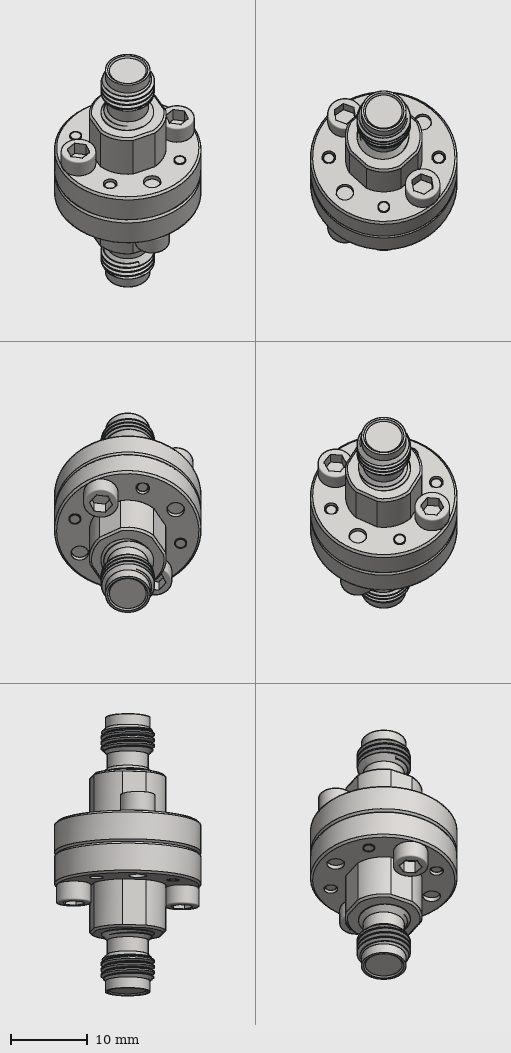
import cadquery as cq
import math

half_length = 18.12

flange_radius = 9.55
flange_thickness = 4.15
flange_chamfer = 0.3

block_radius = 5.0
block_flat_distance = 4.75
block_height = 6.3
block_chamfer = 0.3

thread_radius = 3.48
thread_root_radius = 3.08
thread_pitch = 0.75
thread_groove_width = 0.55
thread_root_width = 0.1
thread_groove_overshoot = 0.07
thread_start_angle = 180.0
thread_groove_height = 15.2
tip_radius = 2.9
tip_length = 1.4
barrel_bottom = 8.7
neck_radius = 2.7
neck_bottom = 11.35
neck_top = 13.23
recess_mouth_radius = 2.6
recess_floor_radius = 2.4
recess_depth = 0.18

bolt_circle_radius = 7.15
screw_radius = 1.12
screw_tip_recess = 0.6
head_radius = 2.25
head_height = 2.5
head_edge_radius = 0.18
socket_width = 2.57
socket_depth = 1.8
socket_angle = 23.0
pin_radius = 0.78
pin_chamfer = 0.1
pin_tip_recess = 0.3
pin_clearance_radius = 0.87

block_top = flange_thickness + block_height
thread_top = half_length - tip_length
thread_depth_over_neck = thread_radius - neck_radius

upper_screw_angles = [90, 270]
lower_screw_angles = [0, 180]
upper_pin_angles = [45, 225]
lower_pin_angles = [135, 315]


def turned_over(shape):
    """Move a part made for the upper side to the lower side."""
    return shape.rotate((0, 0, 0), (0, 1, 0), 180)


def on_bolt_circle(shape, angle):
    """Shift a part from the axis to its place on the bolt circle, without turning it."""
    radians = math.radians(angle)
    return shape.translate((bolt_circle_radius * math.cos(radians), bolt_circle_radius * math.sin(radians), 0))


def make_flange():
    return (
        cq.Workplane("XY")
        .circle(flange_radius)
        .extrude(flange_thickness)
        .edges()
        .chamfer(flange_chamfer)
    )


def make_block():
    """Round block with four wrench flats, its top edge chamfered all the way round."""
    round_bar = cq.Workplane("XY").circle(block_radius).extrude(block_top)
    square_bar = cq.Workplane("XY").rect(2 * block_flat_distance, 2 * block_flat_distance).extrude(block_top)
    round_bar = round_bar.faces(">Z").edges().chamfer(block_chamfer)
    square_bar = square_bar.faces(">Z").edges().chamfer(block_chamfer)
    return round_bar.intersect(square_bar)


def make_thread_groove(first_turn, turns):
    """Helical cutter with a trapezoid section, starting a number of turns from the reference height."""
    mouth_radius = thread_radius + thread_groove_overshoot
    flank_slope = (thread_groove_width - thread_root_width) / 2 / (thread_radius - thread_root_radius)
    mouth_half_width = thread_groove_width / 2 + thread_groove_overshoot * flank_slope
    root_half_width = thread_root_width / 2
    section = [
        (thread_root_radius, -root_half_width),
        (mouth_radius, -mouth_half_width),
        (mouth_radius, mouth_half_width),
        (thread_root_radius, root_half_width),
    ]
    corner_helices = [
        cq.Wire.makeHelix(thread_pitch, turns * thread_pitch, radius).translate(cq.Vector(0, 0, height))
        for radius, height in section
    ]
    neighbours = corner_helices[1:] + corner_helices[:1]
    faces = [cq.Face.makeRuledSurface(here, there) for here, there in zip(corner_helices, neighbours)]
    for end in (0, 1):
        end_outline = [helix.positionAt(end) for helix in corner_helices]
        faces.append(cq.Face.makeFromWires(cq.Wire.makePolygon(end_outline, close=True)))
    cutter = cq.Workplane(obj=cq.Solid.makeSolid(cq.Shell.makeShell(faces)).fix())
    start_height = thread_groove_height + first_turn * thread_pitch
    return cutter.rotate((0, 0, 0), (0, 0, 1), thread_start_angle).translate((0, 0, start_height))


def make_connector():
    """Threaded barrel with a necked relief, a plain tip and a shallow end recess."""
    barrel = (
        cq.Workplane("XZ")
        .moveTo(0, barrel_bottom)
        .lineTo(thread_radius, barrel_bottom)
        .lineTo(thread_radius, neck_bottom - thread_depth_over_neck)
        .lineTo(neck_radius, neck_bottom)
        .lineTo(neck_radius, neck_top)
        .lineTo(thread_radius, neck_top + thread_depth_over_neck)
        .lineTo(thread_radius, thread_top - (thread_radius - tip_radius))
        .lineTo(tip_radius, thread_top)
        .lineTo(tip_radius, half_length)
        .lineTo(recess_mouth_radius, half_length)
        .lineTo(recess_floor_radius, half_length - recess_depth)
        .lineTo(0, half_length - recess_depth)
        .close()
        .revolve(360, (0, 0, 0), (0, 1, 0))
    )
    main_thread = make_thread_groove(first_turn=-2, turns=4)
    thread_below_neck = make_thread_groove(first_turn=-7, turns=2)
    return barrel.cut(main_thread).cut(thread_below_neck)


def make_housing_half():
    return make_flange().union(make_connector()).union(make_block())


def make_screw():
    """Socket head screw on the axis, head seated on the upper flange face."""
    shank_end = screw_tip_recess - flange_thickness
    head = (
        cq.Workplane("XY")
        .workplane(offset=flange_thickness)
        .circle(head_radius)
        .extrude(head_height)
        .edges()
        .fillet(head_edge_radius)
    )
    shank = (
        cq.Workplane("XY")
        .workplane(offset=shank_end)
        .circle(screw_radius)
        .extrude(flange_thickness - shank_end)
    )
    socket = (
        cq.Workplane("XY")
        .workplane(offset=flange_thickness + head_height - socket_depth)
        .polygon(6, socket_width, circumscribed=True)
        .extrude(socket_depth)
        .rotate((0, 0, 0), (0, 0, 1), socket_angle)
    )
    return head.union(shank).cut(socket)


def make_pin():
    """Dowel pin on the axis, flush with the upper flange face and short of the lower one."""
    pin_end = pin_tip_recess - flange_thickness
    return (
        cq.Workplane("XY")
        .workplane(offset=pin_end)
        .circle(pin_radius)
        .extrude(flange_thickness - pin_end)
        .edges()
        .chamfer(pin_chamfer)
    )


def make_screw_hole():
    return cq.Workplane("XY").circle(screw_radius).extrude(flange_thickness, both=True)


def make_pin_hole():
    """Press fit through the upper flange, clearance through the lower one."""
    press_fit = cq.Workplane("XY").circle(pin_radius).extrude(flange_thickness)
    clearance = cq.Workplane("XY").circle(pin_clearance_radius).extrude(-flange_thickness)
    return press_fit.union(clearance)


def make_housing():
    """One body: two flanged ends, joined at a V groove, with the fastener holes."""
    housing = make_housing_half()
    housing = housing.union(turned_over(make_housing_half()))
    for angle in upper_screw_angles + lower_screw_angles:
        housing = housing.cut(on_bolt_circle(make_screw_hole(), angle))
    for angle in upper_pin_angles:
        housing = housing.cut(on_bolt_circle(make_pin_hole(), angle))
    for angle in lower_pin_angles:
        housing = housing.cut(on_bolt_circle(turned_over(make_pin_hole()), angle))
    return housing


def place_both_sides(part, upper_angles, lower_angles):
    """One separate solid per angle, entering from above or from below."""
    placed = [on_bolt_circle(part, angle).val() for angle in upper_angles]
    placed += [on_bolt_circle(turned_over(part), angle).val() for angle in lower_angles]
    return placed


housing = make_housing()
screws = place_both_sides(make_screw(), upper_screw_angles, lower_screw_angles)
pins = place_both_sides(make_pin(), upper_pin_angles, lower_pin_angles)

result = cq.Compound.makeCompound([housing.val(), *screws, *pins])